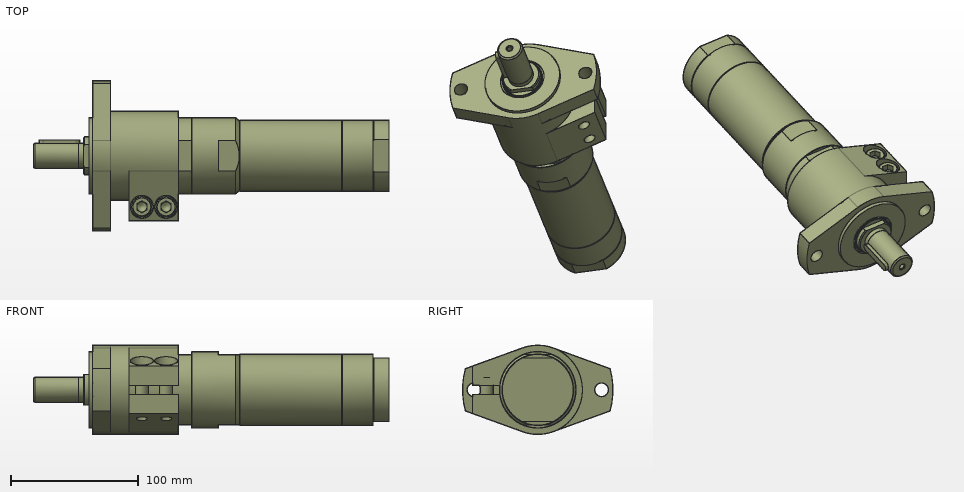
import cadquery as cq
import math


shaft_dia = 20.0
shaft_start = -46.5
shaft_chamfer = 1.2
seat_end = -11.0
relief_dia = 19.9
key_width = 6.0
key_height = 12.5
key_start = -42.0
key_length = 32.0
center_hole_dia = 4.13
center_hole_depth = 12.5
center_tip_depth = 1.2
center_sink_dia = 5.5
collar_dia = 30.0
collar_start = -7.2
collar_chamfer = 0.85
collar_flats = 24.0

pilot_dia = 60.0
pilot_height = 3.0
recess_dia = 35.0
recess_depth = 2.0
seal_ring_dia = 32.0
seal_ring_chamfer = 0.4
body_dia = 70.0
body_end = 28.3
flange_span = 118.0
flange_thickness = 14.0
flange_tip_half_height = 16.6
side_angle = math.radians(20.0)
mount_spacing = 100.0
mount_hole_dia = 10.5

clamp_length = 38.7
clamp_reach = 51.0
clamp_slot = 7.0
screw_y = -40.0
screw_offsets = (10.2, 29.2)
counterbore_dia = 18.0
counterbore_floor = 9.5
head_dia = 16.0
head_height = 10.0
head_chamfer = 1.0
shank_dia = 10.3
shank_end = -16.0
thread_hole_dia = 8.38
socket_flats = 8.0
socket_depth = 5.0
socket_cone_depth = 2.0

joint_width = 0.5
joint_depth = 0.2

gear_dia = 60.0
gear_flats = 55.0
ring_start = 77.3
ring_end = 98.5
cone_start = 111.9
cone_length = 3.0
cone_end_dia = 54.8
cone_gap = 0.5

tube_dia = 56.0
joint_x = 195.0
cap_flats_start = 219.7
cap_flats = 50.0
motor_end = 232.2

clamp_end = body_end + clamp_length
cone_end = cone_start + cone_length
tube_start = cone_end + cone_gap


def cylinder(start, end, dia):
    """Cylinder along X between two stations."""
    return cq.Workplane("YZ", origin=(start, 0, 0)).circle(dia / 2).extrude(end - start)


def post(x, y, bottom, top, dia):
    """Vertical cylinder between two heights."""
    return cq.Workplane("XY", origin=(x, y, bottom)).circle(dia / 2).extrude(top - bottom)


def cone(base, direction, base_dia, end_dia, length):
    """Cone or frustum growing from a base center along a direction."""
    solid = cq.Solid.makeCone(base_dia / 2, end_dia / 2, length, cq.Vector(*base), cq.Vector(*direction))
    return cq.Workplane(solid)


def flat_slab(start, end, height):
    """Wide slab centered on the axis, used to trim parallel flats."""
    return cq.Workplane("XY").box(end - start, flange_span, height).translate(((start + end) / 2, 0, 0))


def tangent_point():
    """Y and Z where the sloping side leaves the round body."""
    radius = body_dia / 2
    return radius * math.sin(side_angle), radius * math.cos(side_angle)


def joint_groove(start, dia):
    """Ring of material removed by a shallow joint groove."""
    end = start + joint_width
    return cylinder(start, end, dia).cut(cylinder(start, end, dia - 2 * joint_depth))


def make_shaft():
    seat = cylinder(shaft_start, seat_end, shaft_dia).faces("<X").chamfer(shaft_chamfer)
    relief = cylinder(seat_end, 0, relief_dia)
    key = (
        cq.Workplane("XZ", origin=(key_start + key_length / 2, 0, 0))
        .slot2D(key_length, key_width)
        .extrude(-key_height)
    )
    bore_end = shaft_start + center_hole_depth
    bore = cylinder(shaft_start, bore_end, center_hole_dia)
    bore_tip = cone((bore_end, 0, 0), (1, 0, 0), center_hole_dia, 0, center_tip_depth)
    sink_depth = (center_sink_dia - center_hole_dia) / 2
    sink = cone((shaft_start, 0, 0), (1, 0, 0), center_sink_dia, center_hole_dia, sink_depth)
    return seat.union(relief).union(key).cut(bore).cut(bore_tip).cut(sink)


def make_collar():
    collar = cylinder(collar_start, 0, collar_dia).faces("<X").chamfer(collar_chamfer)
    return collar.intersect(flat_slab(collar_start, 0, collar_flats))


def make_flange():
    y_tan, z_tan = tangent_point()
    z_tip = flange_tip_half_height
    y_tip = y_tan + (z_tan - z_tip) / math.tan(side_angle)
    outline = (
        cq.Workplane("YZ")
        .moveTo(-y_tan, z_tan)
        .threePointArc((0, body_dia / 2), (y_tan, z_tan))
        .lineTo(y_tip, z_tip)
        .threePointArc((flange_span / 2, 0), (y_tip, -z_tip))
        .lineTo(y_tan, -z_tan)
        .threePointArc((0, -body_dia / 2), (-y_tan, -z_tan))
        .lineTo(-y_tip, -z_tip)
        .threePointArc((-flange_span / 2, 0), (-y_tip, z_tip))
        .close()
    )
    flange = outline.extrude(flange_thickness)
    holes = (
        cq.Workplane("YZ")
        .pushPoints([(-mount_spacing / 2, 0), (mount_spacing / 2, 0)])
        .circle(mount_hole_dia / 2)
        .extrude(flange_thickness)
    )
    pilot = cylinder(-pilot_height, 0, pilot_dia)
    recess = cylinder(-pilot_height, recess_depth - pilot_height, recess_dia)
    seal_ring = cylinder(-pilot_height, 0, seal_ring_dia).faces("<X").chamfer(seal_ring_chamfer)
    pilot = pilot.cut(recess).union(seal_ring)
    body = cylinder(flange_thickness, body_end, body_dia)
    return flange.cut(holes).union(pilot).union(body)


def make_clamp():
    y_tan, z_tan = tangent_point()
    z_edge = z_tan - (clamp_reach - y_tan) * math.tan(side_angle)
    block = (
        cq.Workplane("YZ", origin=(body_end, 0, 0))
        .moveTo(-y_tan, z_tan)
        .threePointArc((body_dia / 2, 0), (-y_tan, -z_tan))
        .lineTo(-clamp_reach, -z_edge)
        .lineTo(-clamp_reach, z_edge)
        .close()
        .extrude(clamp_length)
    )
    slot = cq.Workplane("XY").box(clamp_length, clamp_reach, clamp_slot)
    slot = slot.translate((body_end + clamp_length / 2, -clamp_reach / 2, 0))
    block = block.cut(slot).union(cylinder(body_end, clamp_end, gear_dia))
    for offset in screw_offsets:
        x = body_end + offset
        block = block.cut(post(x, screw_y, counterbore_floor, body_dia / 2, counterbore_dia))
        block = block.cut(post(x, screw_y, -body_dia / 2, shank_end, thread_hole_dia))
        block = block.union(make_screw(x))
    return block


def make_screw(x):
    head_top = counterbore_floor + head_height
    head = post(x, screw_y, counterbore_floor, head_top, head_dia).faces(">Z").chamfer(head_chamfer)
    corner_dia = socket_flats / math.cos(math.pi / 6)
    socket = (
        cq.Workplane("XY", origin=(x, screw_y, head_top))
        .transformed(rotate=(0, 0, 30))
        .polygon(6, corner_dia)
        .extrude(-socket_depth)
    )
    socket_tip = cone((x, screw_y, head_top - socket_depth), (0, 0, -1), socket_flats, 0, socket_cone_depth)
    shank = post(x, screw_y, shank_end, counterbore_floor, shank_dia)
    return head.cut(socket).cut(socket_tip).union(shank)


def make_gearbox():
    neck = cylinder(clamp_end, ring_start, gear_dia).intersect(flat_slab(clamp_end, ring_start, gear_flats))
    ring = cylinder(ring_start, ring_end, gear_dia).cut(joint_groove(ring_start, gear_dia))
    rear = cylinder(ring_end, cone_start, gear_dia).intersect(flat_slab(ring_end, cone_start, gear_flats))
    taper = cone((cone_start, 0, 0), (1, 0, 0), gear_dia, cone_end_dia, cone_length)
    taper = taper.intersect(flat_slab(cone_start, cone_end, gear_flats))
    gap = cylinder(cone_end, tube_start, cone_end_dia)
    return neck.union(ring).union(rear).union(taper).union(gap)


def make_motor():
    tube = cylinder(tube_start, cap_flats_start, tube_dia)
    cap = cylinder(cap_flats_start, motor_end, tube_dia)
    cap = cap.intersect(flat_slab(cap_flats_start, motor_end, cap_flats))
    motor = tube.union(cap)
    for start in (joint_x, cap_flats_start):
        motor = motor.cut(joint_groove(start, tube_dia))
    return motor


result = (
    make_flange()
    .union(make_collar())
    .union(make_shaft())
    .union(make_clamp())
    .union(make_gearbox())
    .union(make_motor())
)